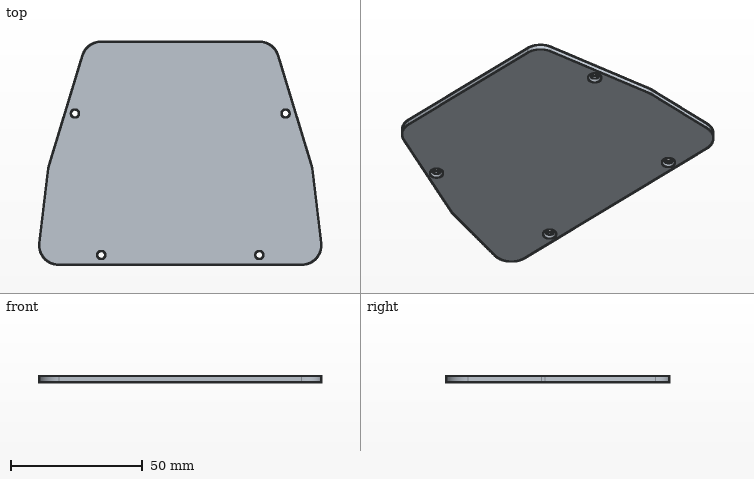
import cadquery as cq

width = 107.2
depth = 84.8
thickness = 2.5
corner_radius = 7.5

front_corner = (width / 2 - corner_radius, corner_radius)
waist_corner = (42.8, 35.4)
back_corner = (30.0, depth - corner_radius)

hole_diameter = 3.0
countersink_diameter = 5.0
countersink_depth = (countersink_diameter - hole_diameter) / 2
front_hole = (30.0, 3.8)
back_hole = (40.0, 57.5)


def mirrored(point):
    """Return the matching point on the -X side."""
    x, y = point
    return (-x, y)


right_side = [front_corner, waist_corner, back_corner]
left_side = [mirrored(point) for point in reversed(right_side)]
plate = (
    cq.Workplane("XY")
    .polyline(right_side + left_side)
    .close()
    .offset2D(corner_radius, "arc")
    .extrude(thickness)
)

hole_centers = []
for center in (front_hole, back_hole):
    hole_centers += [center, mirrored(center)]

holes = (
    cq.Workplane("XY")
    .pushPoints(hole_centers)
    .circle(hole_diameter / 2)
    .extrude(thickness)
)

countersink = cq.Workplane(
    cq.Solid.makeCone(countersink_diameter / 2, hole_diameter / 2, countersink_depth)
)

result = plate.cut(holes)
for x, y in hole_centers:
    result = result.cut(countersink.translate((x, y, 0)))